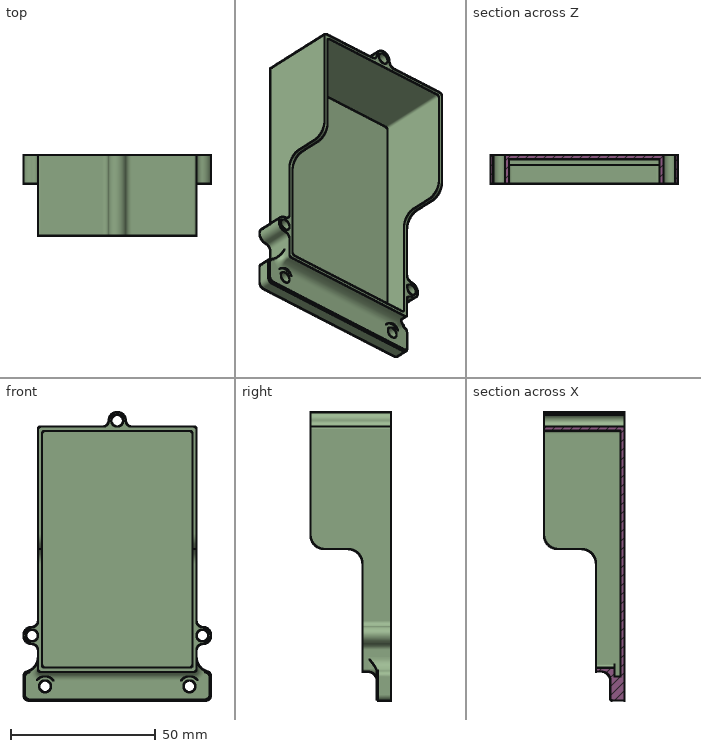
import cadquery as cq
import math

box_width = 55.0
box_depth = 28.0
box_bottom = 10.0
box_height = 85.0
box_top = box_bottom + box_height
box_mid_z = box_bottom + box_height / 2
wall = 1.5
box_corner_radius = 1.0
groove_width = 2.0
groove_depth = 3.0
low_depth = 10.0
step_radius = 5.0

hole_diameter = 4.0
lug_radius = 3.0
lug_offset = 2.0
side_lug_z = 22.6

flange_width = 65.0
flange_thickness = 5.0
flange_corner_radius = 2.0
flange_chamfer = 0.5
shoulder_radius = 5.0
flange_hole_x = 25.0
flange_hole_z = 5.0
spotface_diameter = 7.0
root_radius = 3.0

half_box = box_width / 2
half_flange = flange_width / 2
clearance = 1.0
overlap = wall / 2


def back_plane():
    """Sketch plane at y = 0: local x is X, local y is Z, extrusion goes to -Y."""
    return cq.Workplane("XZ")


def upright_block(width, height, depth, radius, start=0.0):
    """Block centred on the box, with rounded edges along Y."""
    return (
        back_plane()
        .workplane(offset=start)
        .center(0, box_mid_z)
        .rect(width, height)
        .extrude(depth)
        .edges("|Y")
        .fillet(radius)
    )


def make_step_cut():
    """Space removed in front of the lower half, with an S-shaped step."""
    r = step_radius
    r45 = r * math.sin(math.pi / 4)
    front = -box_depth
    low = -low_depth
    mid = box_mid_z
    return (
        cq.Workplane("YZ")
        .moveTo(low, 0)
        .lineTo(low, mid - r)
        .threePointArc((low - r + r45, mid - r + r45), (low - r, mid))
        .lineTo(front + r, mid)
        .threePointArc((front + r - r45, mid + r - r45), (front, mid + r))
        .lineTo(front - r, mid + r)
        .lineTo(front - r, 0)
        .close()
        .extrude(half_flange, both=True)
    )


def make_lug(depth):
    """Lug on a wall along local x, pointing to +Z, blended into the wall."""
    blend = lug_offset
    half_base = lug_radius + blend
    blend45 = blend * math.sin(math.pi / 4)
    return (
        back_plane()
        .moveTo(-half_base, -overlap)
        .lineTo(-half_base, 0)
        .threePointArc((-half_base + blend45, blend - blend45), (-lug_radius, lug_offset))
        .threePointArc((0, lug_offset + lug_radius), (lug_radius, lug_offset))
        .threePointArc((half_base - blend45, blend - blend45), (half_base, 0))
        .lineTo(half_base, -overlap)
        .close()
        .extrude(depth)
    )


def hole_cutter(x, z, diameter, depth, start=0.0):
    return back_plane().workplane(offset=start).center(x, z).circle(diameter / 2).extrude(depth)


def make_flange_outline(depth):
    """Flange with rounded corners and concave shoulders rising to the box sides."""
    r = flange_corner_radius
    r45 = r * math.sin(math.pi / 4)
    shoulder_z = box_bottom + shoulder_radius
    reach = shoulder_radius + r
    corner_x = half_flange - r
    corner_z = shoulder_z - math.sqrt(reach**2 - r**2)
    lean = math.asin(r / reach)
    joint = (
        half_flange - shoulder_radius * math.sin(lean),
        shoulder_z - shoulder_radius * math.cos(lean),
    )
    half_lean = lean / 2
    corner_mid = (
        corner_x + r * math.cos(math.pi / 4 + half_lean),
        corner_z + r * math.sin(math.pi / 4 + half_lean),
    )
    shoulder_angle = (lean + math.pi / 2) / 2
    shoulder_mid = (
        half_flange - shoulder_radius * math.sin(shoulder_angle),
        shoulder_z - shoulder_radius * math.cos(shoulder_angle),
    )
    half = (
        back_plane()
        .moveTo(0, 0)
        .lineTo(corner_x, 0)
        .threePointArc((corner_x + r45, r - r45), (half_flange, r))
        .lineTo(half_flange, corner_z)
        .threePointArc(corner_mid, joint)
        .threePointArc(shoulder_mid, (half_box, shoulder_z))
        .lineTo(0, shoulder_z)
        .close()
        .extrude(depth)
    )
    return half.union(half.mirror("YZ"))


def make_flange():
    flange = make_flange_outline(flange_thickness)
    rim = cq.selectors.BoxSelector(
        (-half_flange - clearance, -flange_thickness - clearance, -clearance),
        (half_flange + clearance, -flange_thickness + clearance, box_bottom + flange_corner_radius / 2),
    )
    return flange.faces("<Y").edges(rim).chamfer(flange_chamfer)


def make_root_fillet():
    """Concave fillet around the box foot, kept within the flange outline."""
    flare = upright_block(
        box_width + 2 * root_radius,
        box_height + 2 * root_radius,
        flange_thickness + root_radius,
        box_corner_radius + root_radius,
    )
    front = -(flange_thickness + root_radius)
    r45 = root_radius * math.sin(math.pi / 4)
    outer_x = half_box + root_radius
    guide = upright_block(box_width, box_height, root_radius, box_corner_radius, -front)
    path = guide.faces(">Y").wires().val()
    cove = (
        cq.Workplane("XY", origin=(0, 0, box_mid_z))
        .moveTo(half_box, front)
        .threePointArc((outer_x - r45, front + r45), (outer_x, front + root_radius))
        .lineTo(outer_x + clearance, front + root_radius)
        .lineTo(outer_x + clearance, front)
        .close()
        .sweep(cq.Workplane(path), transition="round")
    )
    return flare.cut(cove).intersect(make_flange_outline(flange_thickness + root_radius))


result = upright_block(box_width, box_height, box_depth, box_corner_radius)
result = result.union(make_flange()).union(make_root_fillet())
for side in (-1, 1):
    spotface = hole_cutter(
        side * flange_hole_x, flange_hole_z, spotface_diameter, root_radius, flange_thickness
    )
    flange_hole = hole_cutter(side * flange_hole_x, flange_hole_z, hole_diameter, box_depth)
    result = result.cut(spotface).cut(flange_hole)
cavity_bottom = box_bottom + wall
groove_height = groove_depth + box_corner_radius
groove = (
    back_plane()
    .workplane(offset=wall)
    .center(0, cavity_bottom - groove_depth + groove_height / 2)
    .rect(box_width - 2 * wall, groove_height)
    .extrude(groove_width)
)
cavity = upright_block(
    box_width - 2 * wall, box_height - 2 * wall, box_depth - wall, box_corner_radius, wall
)
result = result.cut(cavity).cut(groove).cut(make_step_cut())

result = result.union(make_lug(box_depth).translate((0, 0, box_top)))
result = result.cut(hole_cutter(0, box_top + lug_offset, hole_diameter, box_depth))
for side in (-1, 1):
    lug = make_lug(low_depth).rotate((0, 0, 0), (0, 1, 0), side * 90)
    result = result.union(lug.translate((side * half_box, 0, side_lug_z)))
    result = result.cut(
        hole_cutter(side * (half_box + lug_offset), side_lug_z, hole_diameter, low_depth)
    )